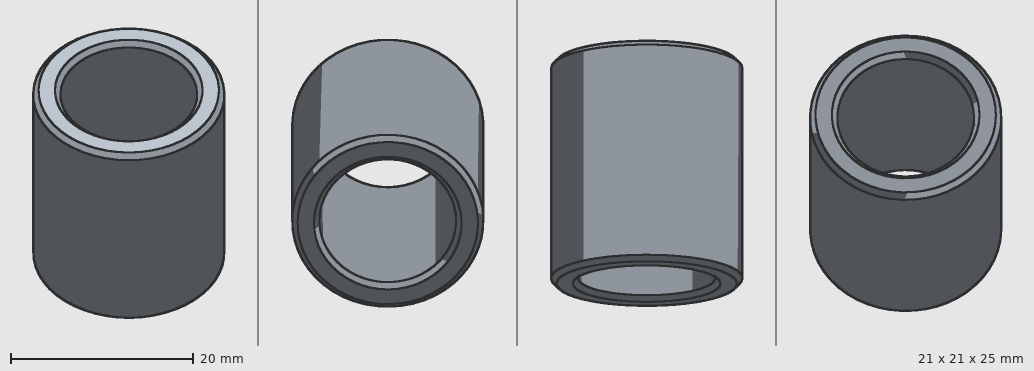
import cadquery as cq

length = 25.0
outer_diameter = 21.0
bore_diameter = 15.0
edge_chamfer = 0.6

bushing = (
    cq.Workplane("XY")
    .circle(outer_diameter / 2)
    .circle(bore_diameter / 2)
    .extrude(length)
)

result = bushing.faces("<Z or >Z").edges().chamfer(edge_chamfer)